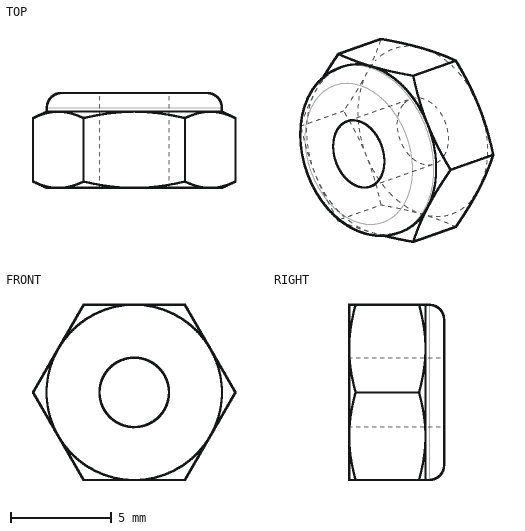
import cadquery as cq
import math

across_corners = 10.12
total_length = 4.75
hex_length = 3.81
bore_diameter = 3.46
collar_round = 0.75
chamfer_angle = 25.0

corner_radius = across_corners / 2
flat_radius = corner_radius * math.cos(math.radians(30))
chamfer_depth = (corner_radius - flat_radius) * math.tan(math.radians(chamfer_angle))


def along_y():
    """Workplane on the front face whose normal points to +Y."""
    return cq.Workplane(cq.Plane(origin=(0, 0, 0), xDir=(1, 0, 0), normal=(0, 1, 0)))


def chamfered_hex():
    """Hexagon with its corners cut by a cone at both ends."""
    prism = along_y().polygon(6, across_corners).extrude(hex_length)
    envelope = (
        cq.Workplane("XY")
        .moveTo(0, 0)
        .lineTo(flat_radius, 0)
        .lineTo(corner_radius, chamfer_depth)
        .lineTo(corner_radius, hex_length - chamfer_depth)
        .lineTo(flat_radius, hex_length)
        .lineTo(0, hex_length)
        .close()
        .revolve(360, (0, 0, 0), (0, 1, 0))
    )
    return prism.intersect(envelope)


def rounded_collar():
    """Round locking collar behind the hexagon, with a rounded outer edge."""
    return (
        along_y()
        .workplane(offset=hex_length)
        .circle(flat_radius)
        .extrude(total_length - hex_length)
        .faces(">Y")
        .edges()
        .fillet(collar_round)
    )


bore = along_y().circle(bore_diameter / 2).extrude(total_length)

result = chamfered_hex().union(rounded_collar()).cut(bore)